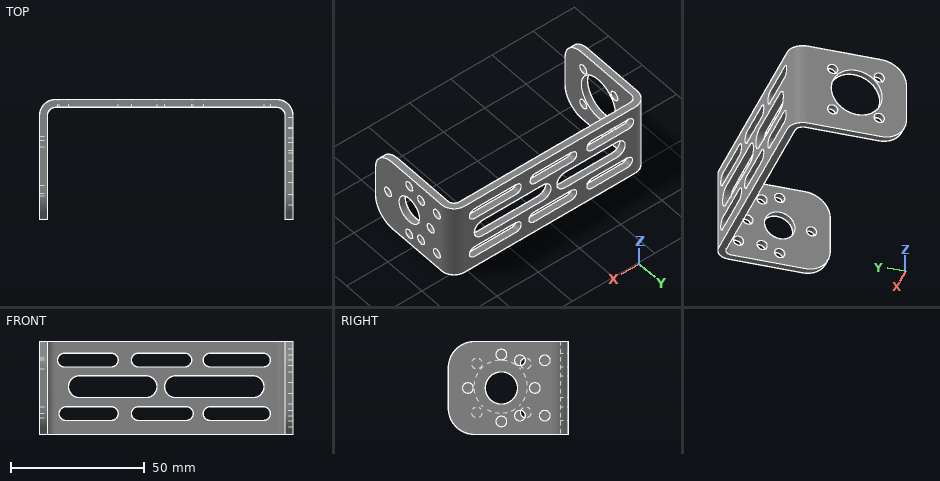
import cadquery as cq

width = 95.0
depth = 45.0
height = 35.0
thickness = 3.0
bend_inner_radius = 3.0
bend_outer_radius = bend_inner_radius + thickness
flange_corner_radius = 10.0

back_y = depth / 2
half_width = width / 2

small_slot_height = 5.0
large_slot_height = 8.1
slot_rows = [
    (10.45, small_slot_height, [(-40.7, -18.05), (-13.0, 9.5), (13.9, 38.95)]),
    (0.5, large_slot_height, [(-36.6, -3.5), (-0.6, 36.6)]),
    (-9.6, small_slot_height, [(-40.1, -18.05), (-13.0, 10.1), (13.9, 38.95)]),
]

screw_diameter = 4.0
hub_y = back_y - 25.1

motor_opening_diameter = 19.95
motor_opening_y = hub_y - 0.3
motor_opening_z = 0.5
motor_screw_spacing = 18.3

hub_bore_diameter = 12.0
hub_screw_radius = 12.5
rectangle_z = 10.4
rectangle_y = [back_y - 8.8, back_y - 18.1]


def bent_channel():
    """U-shaped strip extruded over the full height, with rounded bends."""
    outer = cq.Workplane("XY").box(width, depth, height)
    outer = outer.edges("|Z and >Y").fillet(bend_outer_radius)
    inner = cq.Workplane("XY").box(width - 2 * thickness, depth, height)
    inner = inner.edges("|Z and >Y").fillet(bend_inner_radius)
    return outer.cut(inner.translate((0, -thickness, 0)))


def back_slot(left, right, center_z, slot_height):
    """Cutter for one horizontal round-ended slot through the back plate."""
    return (
        cq.Workplane("XZ", origin=((left + right) / 2, back_y, center_z))
        .slot2D(right - left, slot_height)
        .extrude(thickness)
    )


def flange_holes(side, centers, diameter):
    """Cutter for holes through the flange at side -1 (left) or +1 (right); centers are (y, z)."""
    inner_face_x = half_width - thickness
    start_x = -half_width if side < 0 else inner_face_x
    return (
        cq.Workplane("YZ", origin=(start_x, 0, 0))
        .pushPoints(centers)
        .circle(diameter / 2)
        .extrude(thickness)
    )


bracket = bent_channel()

bracket = bracket.edges("|X and <Y").fillet(flange_corner_radius)

for row_z, slot_height, spans in slot_rows:
    for left_end, right_end in spans:
        bracket = bracket.cut(back_slot(left_end, right_end, row_z, slot_height))

motor_screw_offset = motor_screw_spacing / 2
motor_screws = [
    (hub_y + y_sign * motor_screw_offset, z_sign * motor_screw_offset)
    for y_sign in (-1, 1)
    for z_sign in (-1, 1)
]
bracket = bracket.cut(flange_holes(-1, motor_screws, screw_diameter))
bracket = bracket.cut(flange_holes(-1, [(motor_opening_y, motor_opening_z)], motor_opening_diameter))

hub_screws = [
    (hub_y + hub_screw_radius, 0),
    (hub_y - hub_screw_radius, 0),
    (hub_y, hub_screw_radius),
    (hub_y, -hub_screw_radius),
]
rectangle_screws = [(y, z_sign * rectangle_z) for y in rectangle_y for z_sign in (-1, 1)]
bracket = bracket.cut(flange_holes(1, [(hub_y, 0)], hub_bore_diameter))
bracket = bracket.cut(flange_holes(1, hub_screws + rectangle_screws, screw_diameter))

result = bracket